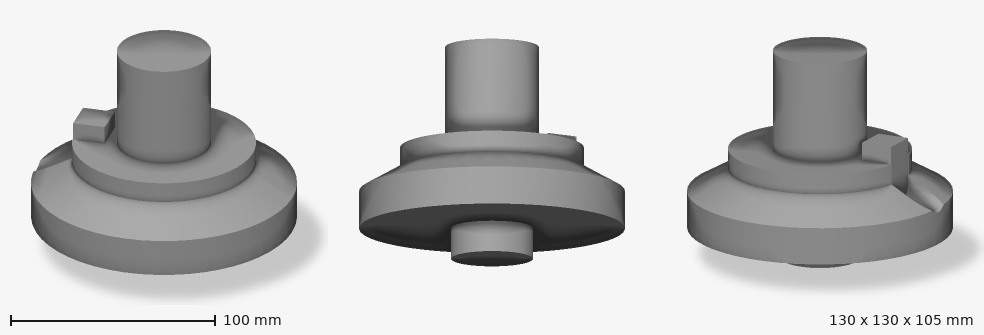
import cadquery as cq

flange_diameter = 130.0
collar_diameter = 90.0
hub_bottom = 15.1
rim_height = 18.5
cone_height = 11.5
collar_height = 10.1
cone_bottom = hub_bottom + rim_height
collar_bottom = cone_bottom + cone_height
hub_top = collar_bottom + collar_height

total_height = 105.0
journal_diameter = 40.0
shaft_diameter = 46.0

slot_width = 18.1
key_clearance = 0.1
key_width = slot_width - 2 * key_clearance
key_length = 16.1
key_outer_x = -43.7
key_inner_x = key_outer_x + key_length
key_top = 64.0
slot_bottom = 31.2
slot_axis_z = slot_bottom + slot_width / 2


def round_bottomed_bar(width, x_start, x_end, top):
    """Bar along X with a half-round underside centred on the slot axis."""
    radius = width / 2
    return (
        cq.Workplane("YZ", origin=(x_start, 0, 0))
        .moveTo(-radius, top)
        .lineTo(-radius, slot_axis_z)
        .threePointArc((0, slot_axis_z - radius), (radius, slot_axis_z))
        .lineTo(radius, top)
        .close()
        .extrude(x_end - x_start)
    )


def make_hub():
    """Rim, cone and collar with a through bore and an open slot at -X."""
    bore_radius = journal_diameter / 2
    flange_radius = flange_diameter / 2
    collar_radius = collar_diameter / 2
    body = (
        cq.Workplane("XZ")
        .moveTo(bore_radius, hub_bottom)
        .lineTo(flange_radius, hub_bottom)
        .lineTo(flange_radius, cone_bottom)
        .lineTo(collar_radius, collar_bottom)
        .lineTo(collar_radius, hub_top)
        .lineTo(bore_radius, hub_top)
        .close()
        .revolve(360, (0, 0, 0), (0, 1, 0))
    )
    slot = round_bottomed_bar(slot_width, -flange_diameter, key_inner_x, key_top)
    return body.cut(slot)


def make_shaft():
    """Journal through the hub bore, with the thicker shaft above it."""
    journal = cq.Workplane("XY").circle(journal_diameter / 2).extrude(hub_top)
    upper = (
        cq.Workplane("XY", origin=(0, 0, hub_top))
        .circle(shaft_diameter / 2)
        .extrude(total_height - hub_top)
    )
    return journal.union(upper)


def make_key():
    """Key against the inner end of the slot, standing above the collar."""
    return round_bottomed_bar(key_width, key_outer_x, key_inner_x, key_top)


hub = make_hub()
shaft = make_shaft()
key = make_key()

result = cq.Compound.makeCompound([hub.val(), shaft.val(), key.val()])